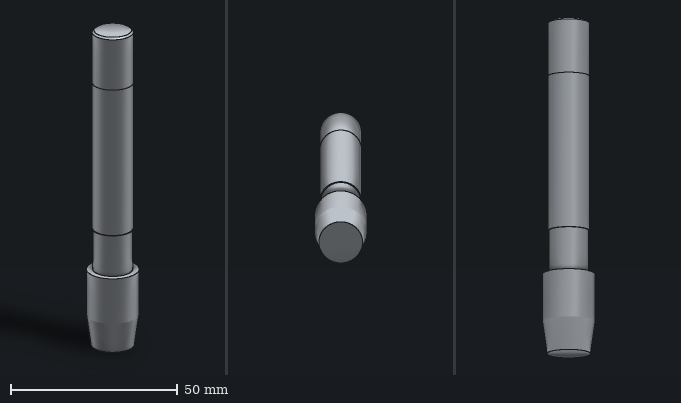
import cadquery as cq

total_height = 102.0
head_diameter = 15.9
tip_diameter = 13.2
neck_diameter = 12.0
shank_diameter = 12.5
taper_height = 9.8
head_top = 24.5
neck_top = 37.7
cap_bottom = 85.1
cap_chamfer = 0.6


def make_spindle():
    """Turned body: tapered tip, head, relieved neck and shank."""
    profile = (
        cq.Workplane("XZ")
        .moveTo(0, 0)
        .lineTo(tip_diameter / 2, 0)
        .lineTo(head_diameter / 2, taper_height)
        .lineTo(head_diameter / 2, head_top)
        .lineTo(neck_diameter / 2, head_top)
        .lineTo(neck_diameter / 2, neck_top)
        .lineTo(shank_diameter / 2, neck_top)
        .lineTo(shank_diameter / 2, cap_bottom)
        .lineTo(0, cap_bottom)
        .close()
    )
    return profile.revolve(360, (0, 0, 0), (0, 1, 0))


def make_cap():
    """Plain cylinder on the end of the shank, with a chamfered top rim."""
    return (
        cq.Workplane("XY")
        .workplane(offset=cap_bottom)
        .circle(shank_diameter / 2)
        .extrude(total_height - cap_bottom)
        .faces(">Z")
        .chamfer(cap_chamfer)
    )


spindle = make_spindle()
cap = make_cap()

result = cq.Compound.makeCompound([spindle.val(), cap.val()])